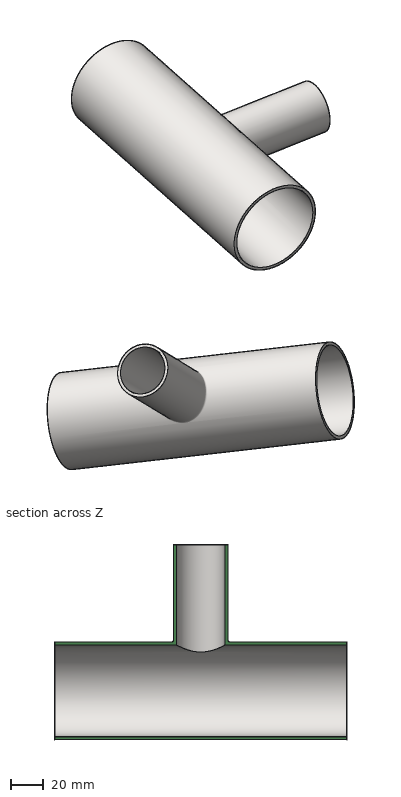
import cadquery as cq

run_length = 180.0
run_outer_diameter = 60.3
run_inner_diameter = 56.3

branch_outer_diameter = 33.7
branch_inner_diameter = 29.7
branch_reach = run_length / 2

seam_radius = 1.0


def run_cylinder(diameter):
    """Solid cylinder along X, as long as the main pipe."""
    return cq.Workplane("YZ").circle(diameter / 2).extrude(run_length / 2, both=True)


def branch_cylinder(diameter):
    """Solid cylinder along +Y, from the main pipe axis to the branch end."""
    return cq.Workplane("XZ").circle(diameter / 2).extrude(-branch_reach)


def round_seam(body):
    """Fillet the saddle-shaped edge between the branch and the main pipe."""
    branch_radius = branch_outer_diameter / 2
    run_radius = run_outer_diameter / 2
    seam_region = cq.selectors.BoxSelector(
        (-branch_radius, 0, -branch_radius),
        (branch_radius, run_radius, branch_radius),
        boundingbox=False,
    )
    return body.edges(seam_region).edges("not %LINE").fillet(seam_radius)


outer_body = run_cylinder(run_outer_diameter).union(branch_cylinder(branch_outer_diameter))
outer_body = round_seam(outer_body)

result = outer_body.cut(run_cylinder(run_inner_diameter)).cut(branch_cylinder(branch_inner_diameter))